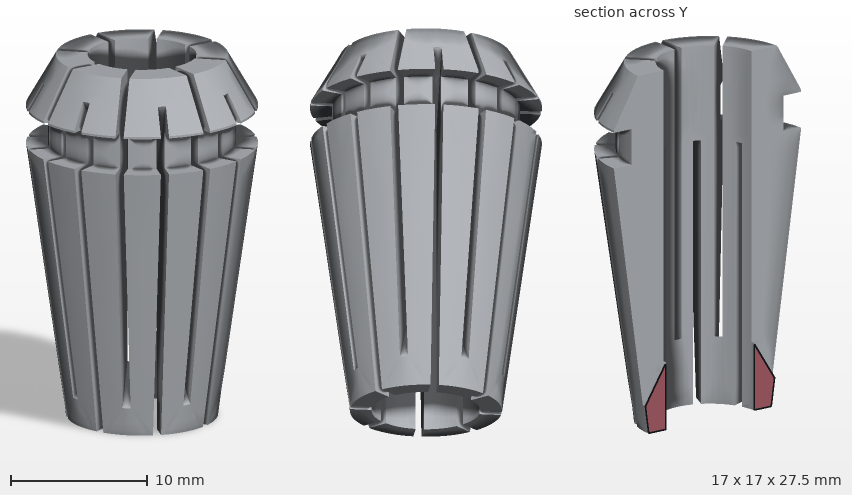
import cadquery as cq
import math

length = 27.5
outer_radius = 8.5
bore_radius = 4.0

taper_angle = math.radians(8)
taper_top = 20.8
taper_bottom_radius = outer_radius - taper_top * math.tan(taper_angle)
neck_radius = 6.9
neck_top = 23.55

nose_angle = math.radians(30)
rim_top = 23.7
nose_radius = outer_radius - (length - rim_top) * math.tan(nose_angle)

slots_per_end = 8
slot_pitch = 360 / slots_per_end
slot_width = 0.6
slot_end_slope = math.radians(58)
top_slot_floor = 2.15
bottom_slot_ceiling = 25.65
clearance = 0.55


def make_body():
    """Revolve the bored profile about Z."""
    profile = [
        (bore_radius, 0),
        (taper_bottom_radius, 0),
        (outer_radius, taper_top),
        (neck_radius, taper_top),
        (neck_radius, neck_top),
        (outer_radius, neck_top),
        (outer_radius, rim_top),
        (nose_radius, length),
        (bore_radius, length),
    ]
    return cq.Workplane("XZ").polyline(profile).close().revolve(360, (0, 0), (0, 1))


def cut_slots(body, end_radius, end_height, direction, first_angle):
    """Cut a ring of slots whose sloped end passes through the given radius and height.

    direction is +1 for slots open at the top and -1 for slots open at the bottom.
    """
    inner = bore_radius - clearance
    outer = outer_radius + clearance
    open_end = length + clearance if direction > 0 else -clearance

    def end_height_at(radius):
        return end_height + direction * (end_radius - radius) * math.tan(slot_end_slope)

    outline = [
        (inner, open_end),
        (inner, end_height_at(inner)),
        (outer, end_height_at(outer)),
        (outer, open_end),
    ]
    slot = cq.Workplane("XZ").polyline(outline).close().extrude(slot_width / 2, both=True)
    for index in range(slots_per_end):
        angle = first_angle + index * slot_pitch
        body = body.cut(slot.rotate((0, 0, 0), (0, 0, 1), angle))
    return body


floor_radius = taper_bottom_radius + top_slot_floor * math.tan(taper_angle)
ceiling_radius = nose_radius + (length - bottom_slot_ceiling) * math.tan(nose_angle)

result = make_body()
result = cut_slots(result, floor_radius, top_slot_floor, 1, 0)
result = cut_slots(result, ceiling_radius, bottom_slot_ceiling, -1, slot_pitch / 2)